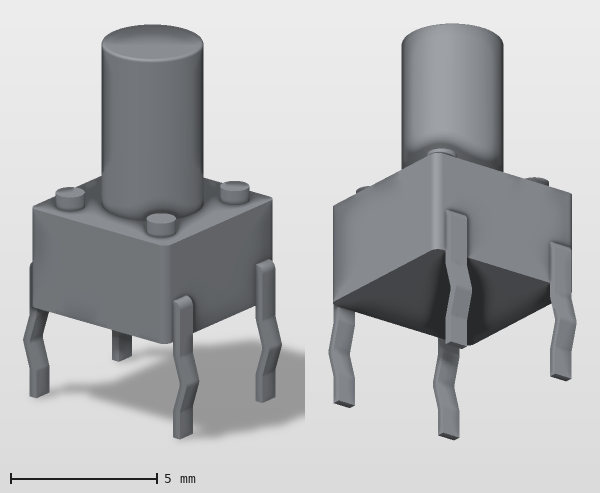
import cadquery as cq

HOUSING_SIDE = 6.0
HOUSING_CORNER_RADIUS = 0.3
HOUSING_BOTTOM = 3.5
HOUSING_TOP = 7.1

BUTTON_DIAMETER = 3.5
BUTTON_TOP = 13
BUTTON_EDGE_FILLET = 0.1

RIVET_DIAMETER = 1.0
RIVET_PITCH = 4.0
RIVET_TOP = 7.6

LEG_THICKNESS = 0.3
LEG_WIDTH = 0.7
LEG_PITCH = 4.5
LEG_TOP = 5.0
LEG_BEND_RADIUS = 0.3

KINK_REACH = 0.3
KINK_HALF_HEIGHT = 1.0
KINK_MIDDLE = 2.0
KINK_BOTTOM = KINK_MIDDLE - KINK_HALF_HEIGHT
KINK_TOP = KINK_MIDDLE + KINK_HALF_HEIGHT


def make_cylinder(x, y, bottom, top, diameter):
    """Upright cylinder with its axis at (x, y)."""
    return cq.Workplane("XY", origin=(x, y, bottom)).circle(diameter / 2).extrude(top - bottom)


def make_housing():
    block = (
        cq.Workplane("XY", origin=(0, 0, HOUSING_BOTTOM))
        .rect(HOUSING_SIDE, HOUSING_SIDE)
        .extrude(HOUSING_TOP - HOUSING_BOTTOM)
    )
    return block.edges("|Z").fillet(HOUSING_CORNER_RADIUS)


def make_button():
    post = make_cylinder(0, 0, HOUSING_TOP, BUTTON_TOP, BUTTON_DIAMETER)
    return post.faces(">Z").edges().fillet(BUTTON_EDGE_FILLET)


def make_rivet(x, y):
    return make_cylinder(x, y, HOUSING_TOP, RIVET_TOP, RIVET_DIAMETER)


def select_bend_edges(leg):
    """The edges across the width of a leg at the three bends of its kink."""
    across = leg.edges("|Y")
    return across.filter(lambda edge: KINK_BOTTOM <= round(edge.Center().z, 3) <= KINK_TOP)


def make_leg(side, y):
    """Leg centred on y, lying flat on the -X wall (side = -1) or the +X wall (side = 1)."""
    inner = side * HOUSING_SIDE / 2
    outer = inner + side * LEG_THICKNESS
    kink = side * KINK_REACH
    leg = (
        cq.Workplane("XZ", origin=(0, y, 0))
        .moveTo(inner, 0)
        .lineTo(outer, 0)
        .lineTo(outer, KINK_BOTTOM)
        .lineTo(outer + kink, KINK_MIDDLE)
        .lineTo(outer, KINK_TOP)
        .lineTo(outer, LEG_TOP - LEG_THICKNESS)
        .radiusArc((inner, LEG_TOP), -side * LEG_THICKNESS)
        .lineTo(inner, KINK_TOP)
        .lineTo(inner + kink, KINK_MIDDLE)
        .lineTo(inner, KINK_BOTTOM)
        .close()
        .extrude(LEG_WIDTH / 2, both=True)
    )
    return select_bend_edges(leg).fillet(LEG_BEND_RADIUS)


housing = make_housing()
button = make_button()

rivets = []
legs = []
for side_x in (-1, 1):
    for side_y in (-1, 1):
        rivet = make_rivet(side_x * RIVET_PITCH / 2, side_y * RIVET_PITCH / 2)
        rivets.append(rivet.val())
        leg = make_leg(side_x, side_y * LEG_PITCH / 2)
        legs.append(leg.val())

result = cq.Compound.makeCompound([housing.val(), button.val(), *rivets, *legs])